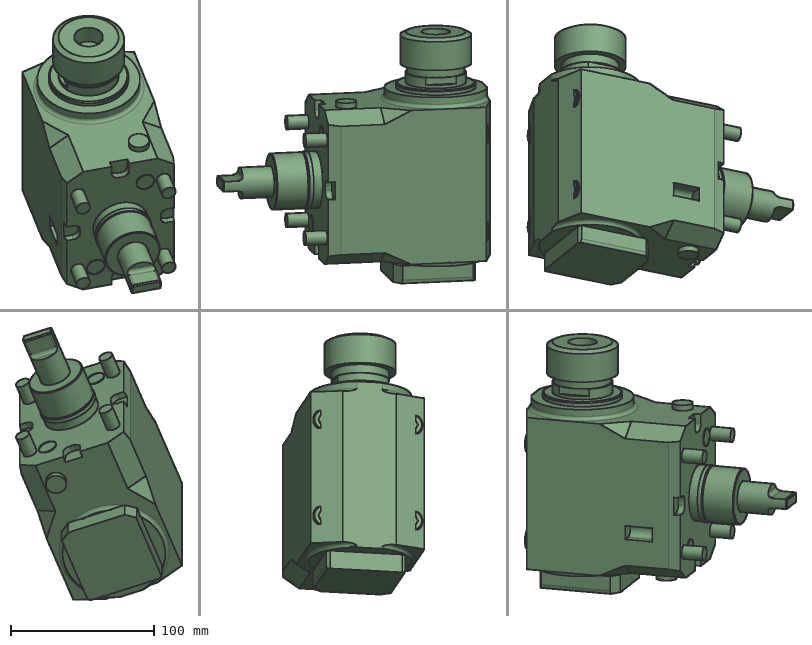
import cadquery as cq
import math


front_x = -34.8
back_x = 85.0
width = 81.0
half_width = width / 2
top_z = 55.2
bottom_z = -54.8
nose_half_width = 19.0
nose_bevel_length = 7.2
rear_bevel_length = 8.5
rear_bevel_depth = 1.7
edge_bevel_start_x = 26.0
edge_bevel_full_x = 45.0
edge_bevel_width = 13.6
edge_bevel_height = 9.0

flange_radius = 36.0
top_flange_z = 62.5
flange_fillet = 2.6
bottom_flange_z = -58.2
rim_radius = 28.0
rim_z = 66.0
rim_chamfer = 1.0

collar_radius = 21.2
collar_z = 73.3
collar_flat_z = 68.2
collar_flat_half_width = 18.1
neck_radius = 20.2
neck_z = 79.5
nut_radius = 25.0
nut_z = 102.0
nut_face_radius = 21.0
nut_bevel_height = 2.0
bore_radius = 10.0
bore_depth = 13.0

block_front_x = -22.7
block_back_x = 35.0
block_width = 56.3
block_z = -71.0
block_front_bevel = (1.7, 2.5)
block_back_bevel = (5.3, 7.2)
block_foot_bevel_depth = 0.5
block_foot_bevel_height = 2.8

shank_radius = 19.8
shank_end_x = 117.7
shank_chamfer = 0.5
ring_start_x = 91.3
ring_end_x = 94.1
ring_crown = 0.5
groove_end_x = 95.3
groove_radius = 17.8
drive_radius = 11.0
drive_end_x = 139.7
tang_end_x = 154.2
tang_half_thickness = 4.0
tang_root_fillet = 3.0
tang_flat_half_width = 8.9
tang_edge_bevel = 0.5
tang_end_chamfer = 1.0

bolt_y = 31.0
bolt_z = 35.0
bolt_radius = 5.0
bolt_tip_x = 100.2
head_x = -29.9
head_radius = 8.0
head_chamfer = 0.8
socket_across_flats = 8.0
socket_depth = 2.8

plug_x = 67.9
plug_radius = 7.2
plug_height = 4.0
port_y = 18.0
port_z = 35.5
port_radius = 6.5
port_height = 0.5

slot_depth = 11.3
slot_corner_radius = 5.0
key_slot_width = 12.7
key_slot_length = 4.7
pocket_start_x = 45.0
pocket_length = 20.0
pocket_radius = 5.0
pocket_z = -22.0


def cylinder_x(radius, x_start, x_end, y=0, z=0):
    """Cylinder along X between two stations."""
    plane = cq.Workplane("YZ", origin=(x_start, y, z))
    return plane.circle(radius).extrude(x_end - x_start)


def cylinder_z(radius, z_start, z_end, x=0, y=0):
    """Cylinder along Z between two heights."""
    plane = cq.Workplane("XY", origin=(x, y, z_start))
    return plane.circle(radius).extrude(z_end - z_start)


def both_sides(solid, plane):
    """The solid together with its mirror image."""
    return solid.union(solid.mirror(plane))


def edge_bevel_wedge(edge_z, direction):
    """Material removed from one long +Y edge; direction is +1 at the top, -1 at the bottom."""
    corner = (half_width, edge_z)
    on_face = (half_width - edge_bevel_width, edge_z)
    on_side = (half_width, edge_z - direction * edge_bevel_height)
    plane = cq.Workplane("YZ", origin=(edge_bevel_full_x, 0, 0))
    prism = plane.polyline([corner, on_face, on_side]).close().extrude(back_x - edge_bevel_full_x)
    tip = cq.Vector(edge_bevel_start_x, *corner)
    base = [cq.Vector(edge_bevel_full_x, *point) for point in (corner, on_face, on_side)]
    triangles = [
        (base[0], base[1], base[2]),
        (tip, base[0], base[1]),
        (tip, base[1], base[2]),
        (tip, base[2], base[0]),
    ]
    faces = [cq.Face.makeFromWires(cq.Wire.makePolygon(list(t), close=True)) for t in triangles]
    taper = cq.Solid.makeSolid(cq.Shell.makeShell(faces))
    return prism.union(cq.Workplane(taper))


def make_housing():
    outline = [
        (front_x, -nose_half_width),
        (front_x + nose_bevel_length, -half_width),
        (back_x - rear_bevel_length, -half_width),
        (back_x, -half_width + rear_bevel_depth),
        (back_x, half_width - rear_bevel_depth),
        (back_x - rear_bevel_length, half_width),
        (front_x + nose_bevel_length, half_width),
        (front_x, nose_half_width),
    ]
    plane = cq.Workplane("XY", origin=(0, 0, bottom_z))
    housing = plane.polyline(outline).close().extrude(top_z - bottom_z)
    for edge_z, direction in ((top_z, 1), (bottom_z, -1)):
        housing = housing.cut(both_sides(edge_bevel_wedge(edge_z, direction), "XZ"))
    return housing


def flange(face_z, end_z):
    """Round flange flaring into the housing face, trimmed flush with the -X face."""
    direction = math.copysign(1, end_z - face_z)
    arc_middle = flange_fillet * (1 - math.sqrt(0.5))
    profile = (
        cq.Workplane("XZ")
        .moveTo(0, face_z)
        .lineTo(flange_radius + flange_fillet, face_z)
        .threePointArc(
            (flange_radius + arc_middle, face_z + direction * arc_middle),
            (flange_radius, face_z + direction * flange_fillet),
        )
        .lineTo(flange_radius, end_z)
        .lineTo(0, end_z)
        .close()
    )
    solid = profile.revolve(360, (0, 0, 0), (0, 1, 0))
    reach = 2 * flange_radius
    keep = cq.Workplane("XY").box(2 * reach, 2 * reach, 4 * reach).translate((front_x + reach, 0, 0))
    return solid.intersect(keep)


def make_spindle():
    rim = cylinder_z(rim_radius, top_flange_z, rim_z).faces(">Z").chamfer(rim_chamfer)
    collar = cylinder_z(collar_radius, rim_z, collar_z)
    flats = (
        cq.Workplane("XY", origin=(0, 0, collar_flat_z))
        .rect(2 * collar_radius, 2 * collar_radius)
        .rect(2 * collar_radius, 2 * collar_flat_half_width)
        .extrude(collar_z - collar_flat_z)
    )
    neck = cylinder_z(neck_radius, collar_z, neck_z)
    nut = (
        cylinder_z(nut_radius, neck_z, nut_z)
        .faces(">Z")
        .chamfer(nut_bevel_height, nut_radius - nut_face_radius)
    )
    bore = cylinder_z(bore_radius, nut_z - bore_depth, nut_z)
    return rim.union(collar.cut(flats)).union(neck).union(nut).cut(bore)


def make_block():
    half_block = block_width / 2
    front_dx, front_dy = block_front_bevel
    back_dx, back_dy = block_back_bevel
    outline = [
        (block_front_x, -half_block + front_dy),
        (block_front_x + front_dx, -half_block),
        (block_back_x - back_dx, -half_block),
        (block_back_x, -half_block + back_dy),
        (block_back_x, half_block - back_dy),
        (block_back_x - back_dx, half_block),
        (block_front_x + front_dx, half_block),
        (block_front_x, half_block - front_dy),
    ]
    plane = cq.Workplane("XY", origin=(0, 0, block_z))
    block = plane.polyline(outline).close().extrude(bottom_flange_z - block_z)
    foot_bevel = (
        cq.Workplane("YZ", origin=(block_front_x, 0, 0))
        .moveTo(half_block, block_z)
        .lineTo(half_block - block_foot_bevel_depth, block_z)
        .lineTo(half_block, block_z + block_foot_bevel_height)
        .close()
        .extrude(block_back_x - block_front_x)
    )
    return block.cut(both_sides(foot_bevel, "XZ"))


def make_shank():
    body = (
        cq.Workplane("XZ")
        .moveTo(back_x, 0)
        .lineTo(back_x, shank_radius)
        .lineTo(ring_start_x, shank_radius)
        .threePointArc(
            ((ring_start_x + ring_end_x) / 2, shank_radius + ring_crown),
            (ring_end_x, shank_radius),
        )
        .lineTo(ring_end_x, groove_radius)
        .lineTo(groove_end_x, groove_radius)
        .lineTo(groove_end_x, shank_radius)
        .lineTo(shank_end_x - shank_chamfer, shank_radius)
        .lineTo(shank_end_x, shank_radius - shank_chamfer)
        .lineTo(shank_end_x, 0)
        .close()
        .revolve(360, (0, 0, 0), (1, 0, 0))
    )
    return body.union(make_drive_tang())


def make_drive_tang():
    """Round drive shaft ending in a flat tang with bevelled edges."""
    shaft = cylinder_x(drive_radius, shank_end_x, tang_end_x).faces(">X").chamfer(tang_end_chamfer)
    cut_length = tang_end_x - drive_end_x
    cut_height = drive_radius - tang_half_thickness
    step = (
        cq.Workplane("XY", origin=(drive_end_x, 0, tang_half_thickness))
        .box(cut_length, 2 * drive_radius, cut_height, centered=(False, True, False))
        .edges("<X and <Z")
        .fillet(tang_root_fillet)
    )
    bevel_z = tang_half_thickness - tang_edge_bevel
    edge_bevel = (
        cq.Workplane("YZ", origin=(drive_end_x + tang_root_fillet, 0, 0))
        .moveTo(tang_flat_half_width, tang_half_thickness)
        .lineTo(drive_radius, tang_half_thickness)
        .lineTo(drive_radius, bevel_z)
        .close()
        .extrude(cut_length - tang_root_fillet)
    )
    upper = step.union(both_sides(edge_bevel, "XZ"))
    tang = shaft.cut(both_sides(upper, "XY"))
    return tang.faces(">X").edges("|Y").chamfer(tang_end_chamfer)


def add_bolts(solid):
    """Four through bolts: heads on the -X bevels, ends on the +X face."""
    head_base_x = front_x + nose_bevel_length + head_radius
    for y in (-bolt_y, bolt_y):
        for z in (-bolt_z, bolt_z):
            head = cylinder_x(head_radius, head_x, head_base_x, y, z).faces("<X").chamfer(head_chamfer)
            socket = (
                cq.Workplane("YZ", origin=(head_x, y, z))
                .polygon(6, socket_across_flats / math.cos(math.pi / 6))
                .extrude(socket_depth)
            )
            bolt_end = cylinder_x(bolt_radius, back_x, bolt_tip_x, y, z)
            solid = solid.union(head.cut(socket)).union(bolt_end)
    return solid


def add_coolant_fittings(solid):
    """A plug and a port above the shank, repeated half a turn about X below it."""
    for side in (1, -1):
        y = side * port_y
        face_z = top_z if side > 0 else bottom_z
        plug = cylinder_z(plug_radius, face_z, face_z + side * plug_height, plug_x, y)
        port = cylinder_x(port_radius, back_x, back_x + port_height, y, side * port_z)
        solid = solid.union(plug).union(port)
    return solid


def rounded_slot(length, slot_width):
    """Slot along X, open at z = 0 and sunk to -slot_depth, with rounded floor corners."""
    return (
        cq.Workplane("XY")
        .box(length, slot_width, slot_depth, centered=(False, True, False))
        .translate((0, 0, -slot_depth))
        .edges("|X and <Z")
        .fillet(slot_corner_radius)
    )


def side_pocket():
    """Pocket along X, open on the -Y face, with a half-round floor."""
    floor_axis_y = -half_width + slot_depth - pocket_radius
    floor = cylinder_x(pocket_radius, pocket_start_x, pocket_start_x + pocket_length, floor_axis_y, pocket_z)
    mouth = (
        cq.Workplane("XY", origin=(pocket_start_x, -half_width, pocket_z))
        .box(pocket_length, slot_depth - pocket_radius, 2 * pocket_radius, centered=(False, False, True))
    )
    return floor.union(mouth)


def cut_slots(solid):
    key_x = back_x - key_slot_length
    key_slot = rounded_slot(key_slot_length, key_slot_width)
    for turn, face_distance in ((0, top_z), (90, half_width), (180, -bottom_z), (270, half_width)):
        slot = key_slot.translate((key_x, 0, face_distance))
        solid = solid.cut(slot.rotate((0, 0, 0), (1, 0, 0), turn))
    return solid.cut(side_pocket())


result = make_housing()
result = result.union(flange(top_z, top_flange_z))
result = result.union(flange(bottom_z, bottom_flange_z))
result = result.union(make_spindle()).union(make_block())
result = cut_slots(result)
result = result.union(make_shank())
result = add_bolts(result)
result = add_coolant_fittings(result)